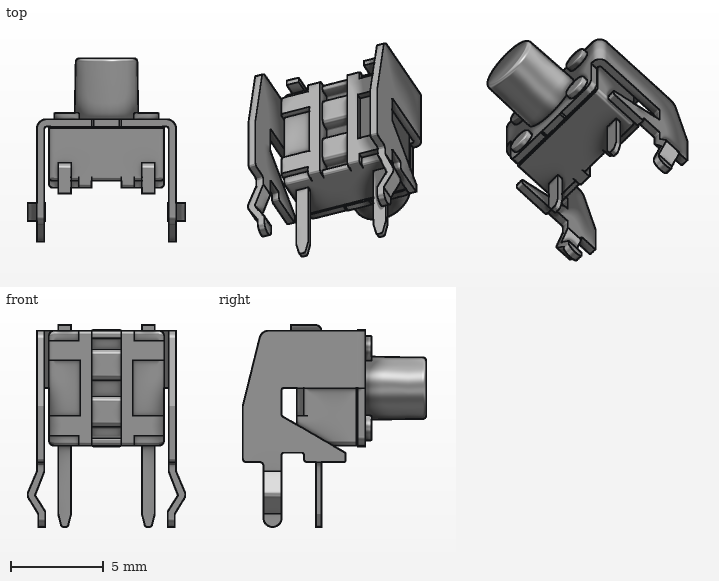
import cadquery as cq


pick_reach = 0.01

sheet = 0.41
bracket_half_width = 3.76
bend_inner_radius = 0.12
bend_outer_radius = bend_inner_radius + sheet

housing_half = 3.11
housing_back = -3.34
housing_corner_radius = 0.29
edge_radius = 0.21
housing_front_chamfer = 0.09

pad_height = 0.37
pad_back = housing_back - pad_height
channel_half_width = 0.8
side_pocket_x = 1.41
side_pocket_half_height = 1.49
corner_notch_x = 1.49
corner_notch_z = 2.56

channel_floor = -2.72
channel_half_height = 2.69
ledge_radius = 0.1
floor_radius = 0.1
rib_centre_z = 1.26
rib_height = 1.66
rib_radius = 0.3

button_length = 3.28
button_base_radius = 1.73
button_tip_radius = 1.67
peg_offset = 2.15
peg_radius = 0.68
peg_length = 0.34
peg_edge_radius = 0.09

crest_height = 0.04
crest_top_half_width = 0.69
crest_base_half_width = 0.8

wing_rear = -6.62
wing_rear_top = -5.61
wing_slope_end = -0.95
wing_bottom = -3.99
wing_top_radius = 0.51
small_corner_radius = 0.1
large_corner_radius = 0.2
arm_tip = -1.07
arm_notch_start = -3.32
arm_root_z = -3.49
arm_window_z = -1.49

leg_front = -4.51
leg_width = 0.99
leg_rear = leg_front - leg_width
leg_bend_start = -4.49
leg_knee_z = -5.78
leg_knee_outer = 4.31
leg_knee_inner = 3.85
leg_foot_outer = 3.68
leg_foot_inner = 3.29
leg_foot_outer_z = -6.78
leg_foot_inner_z = -6.66
foot_bottom = -7.49

pin_offset = 2.26
pin_width = 0.71
pin_thickness = 0.3
pin_front = -2.37
pin_taper_start = -6.78
pin_tip_half_width = 0.17
pin_tip_radius = 0.15
tab_back = -4.02
tab_bend_radius = 0.34


def span(half):
    """Range reaching equally far to both sides of zero."""
    return (-half, half)


def box(x_range, y_range, z_range):
    """Box spanning the given (low, high) ranges."""
    size = [high - low for low, high in (x_range, y_range, z_range)]
    corner = (x_range[0], y_range[0], z_range[0])
    return cq.Workplane("XY").box(*size, centered=False).translate(corner)


def both_sides(shape):
    """The shape together with its mirror image across X = 0."""
    return shape.union(shape.mirror("YZ"))


def pick(y, z, half_width):
    """Selector for edges parallel to X at the given Y and Z."""
    return cq.selectors.BoxSelector(
        (-half_width, y - pick_reach, z - pick_reach),
        (half_width, y + pick_reach, z + pick_reach),
    )


def cut_channel(block):
    """Cut three troughs into the back of the block, leaving two rounded ribs between them."""
    rib_half = rib_height / 2
    walls = [
        (-channel_half_height, ledge_radius),
        (-rib_centre_z - rib_half, rib_radius),
        (-rib_centre_z + rib_half, rib_radius),
        (rib_centre_z - rib_half, rib_radius),
        (rib_centre_z + rib_half, rib_radius),
        (channel_half_height, ledge_radius),
    ]
    heights = [z for z, _ in walls]
    for trough_z in zip(heights[::2], heights[1::2]):
        trough = box(span(channel_half_width), (housing_back, channel_floor), trough_z)
        block = block.cut(trough)
    for z, lip_radius in walls:
        block = block.edges(pick(channel_floor, z, channel_half_width)).fillet(floor_radius)
        block = block.edges(pick(housing_back, z, channel_half_width)).fillet(lip_radius)
    return block


def make_housing():
    """Block with rounded edges, a ribbed channel and two raised pads on its back."""
    full_span = span(housing_half)
    block = (
        box(full_span, (pad_back, -sheet), full_span)
        .edges("|Y").fillet(housing_corner_radius)
        .faces(">Y").edges().chamfer(housing_front_chamfer)
    )
    base = block.intersect(box(full_span, (housing_back, -sheet), full_span))
    base = base.faces("<Y").edges().fillet(edge_radius)

    pad_y = (pad_back, housing_back + edge_radius)
    pads = block.faces("<Y").edges().fillet(edge_radius)
    pads = pads.intersect(box(full_span, pad_y, full_span))
    pads = pads.cut(box(span(channel_half_width), pad_y, full_span))
    side_pocket = box((side_pocket_x, housing_half), pad_y, span(side_pocket_half_height))
    pads = pads.cut(both_sides(side_pocket))
    for notch_z in ((corner_notch_z, housing_half), (-housing_half, -corner_notch_z)):
        pads = pads.cut(both_sides(box((corner_notch_x, housing_half), pad_y, notch_z)))

    return cut_channel(base).union(pads)


def make_button():
    """Slightly tapered button with a rounded tip."""
    button = (
        cq.Workplane("XZ", origin=(0, -sheet, 0)).circle(button_base_radius)
        .workplane(offset=-(button_length + sheet)).circle(button_tip_radius)
        .loft(combine=True)
    )
    return button.faces(">Y").edges().fillet(edge_radius)


def make_pegs():
    """Four round pegs standing on the outer face of the plate."""
    spacing = 2 * peg_offset
    pegs = (
        cq.Workplane("XZ", origin=(0, -sheet, 0)).rarray(spacing, spacing, 2, 2)
        .circle(peg_radius).extrude(-(sheet + peg_length))
    )
    return pegs.faces(">Y").edges().fillet(peg_edge_radius)


def make_wing_outline():
    """Side outline of the wings, extruded across the full bracket width."""
    outline = (
        cq.Workplane("YZ", origin=(-bracket_half_width, 0, 0))
        .moveTo(0, 0)
        .lineTo(0, housing_half)
        .lineTo(wing_rear_top, housing_half)
        .lineTo(wing_rear, wing_slope_end)
        .lineTo(wing_rear, wing_bottom)
        .lineTo(leg_rear, wing_bottom)
        .lineTo(leg_rear, leg_bend_start)
        .lineTo(leg_front, leg_bend_start)
        .lineTo(leg_front, arm_root_z)
        .lineTo(arm_notch_start, arm_root_z)
        .lineTo(arm_notch_start, wing_bottom)
        .lineTo(arm_tip, wing_bottom)
        .lineTo(arm_tip, arm_root_z)
        .lineTo(leg_front, arm_window_z)
        .lineTo(leg_front, 0)
        .close()
        .extrude(2 * bracket_half_width)
    )

    corners = (
        (wing_rear_top, housing_half, wing_top_radius),
        (wing_rear, wing_bottom, large_corner_radius),
        (leg_rear, wing_bottom, large_corner_radius),
        (arm_notch_start, wing_bottom, large_corner_radius),
        (leg_front, arm_root_z, small_corner_radius),
        (arm_notch_start, arm_root_z, small_corner_radius),
        (arm_tip, wing_bottom, small_corner_radius),
        (arm_tip, arm_root_z, small_corner_radius),
        (leg_front, arm_window_z, small_corner_radius),
        (leg_front, 0, small_corner_radius),
    )
    for y, z, radius in corners:
        outline = outline.edges(pick(y, z, bracket_half_width)).fillet(radius)
    return outline


def make_leg():
    """Kinked snap leg on the +X side, ending in a half-round foot."""
    kink = (
        cq.Workplane("XZ", origin=(0, leg_front, 0))
        .moveTo(bracket_half_width, leg_bend_start)
        .lineTo(leg_knee_outer, leg_knee_z)
        .lineTo(leg_foot_outer, leg_foot_outer_z)
        .lineTo(leg_foot_outer, foot_bottom)
        .lineTo(leg_foot_inner, foot_bottom)
        .lineTo(leg_foot_inner, leg_foot_inner_z)
        .lineTo(leg_knee_inner, leg_knee_z)
        .lineTo(bracket_half_width - sheet, leg_bend_start)
        .close()
        .extrude(leg_width)
    )
    kink = kink.edges(">X").fillet(sheet)
    foot_radius = leg_width / 2
    foot_centre_z = foot_bottom + foot_radius
    straight = box((0, leg_knee_outer), (leg_rear, leg_front), (foot_centre_z, leg_bend_start))
    foot = (
        cq.Workplane("YZ").center(leg_front - foot_radius, foot_centre_z)
        .circle(foot_radius).extrude(leg_knee_outer)
    )
    return kink.intersect(straight.union(foot))


def make_bracket():
    """U-shaped sheet: front plate, two wings with arms, and two snap legs."""
    tall = (foot_bottom, housing_half)
    inner_half_width = bracket_half_width - sheet
    shell = box(span(bracket_half_width), (wing_rear, 0), tall)
    shell = shell.edges("|Z and >Y").fillet(bend_outer_radius)
    inside = box(span(inner_half_width), (wing_rear, -sheet), tall)
    inside = inside.edges("|Z and >Y").fillet(bend_inner_radius)
    wings = shell.cut(inside).intersect(make_wing_outline())

    lower_plate = box(span(housing_half), (-sheet, 0), span(housing_half))
    lower_plate = lower_plate.edges("|Y and <Z").fillet(bend_outer_radius)
    crest_top = housing_half + crest_height
    crest = (
        cq.Workplane("XZ")
        .polyline([
            (-crest_base_half_width, housing_half),
            (-crest_top_half_width, crest_top),
            (crest_top_half_width, crest_top),
            (crest_base_half_width, housing_half),
            (crest_base_half_width, -housing_half),
            (crest_top_half_width, -crest_top),
            (-crest_top_half_width, -crest_top),
            (-crest_base_half_width, -housing_half),
        ])
        .close()
        .extrude(sheet)
    )
    return wings.union(lower_plate).union(crest).union(both_sides(make_leg()))


def make_terminal():
    """Terminal on the +X side: tapered pin below, tab folded over the housing top."""
    pin_x = (pin_offset - pin_width / 2, pin_offset + pin_width / 2)
    tab_top = housing_half + pin_thickness
    pin = (
        cq.Workplane("XZ", origin=(pin_offset, pin_front, 0))
        .moveTo(-pin_width / 2, tab_top)
        .lineTo(-pin_width / 2, pin_taper_start)
        .lineTo(-pin_tip_half_width, foot_bottom)
        .lineTo(pin_tip_half_width, foot_bottom)
        .lineTo(pin_width / 2, pin_taper_start)
        .lineTo(pin_width / 2, tab_top)
        .close()
        .extrude(pin_thickness)
    )
    pin = pin.edges("|Y and <Z").fillet(pin_tip_radius)
    tab = box(pin_x, (tab_back, pin_front), (housing_half, tab_top))
    return pin.union(tab).edges("|X and >Y and >Z").fillet(tab_bend_radius)


result = (
    make_housing()
    .union(make_button())
    .union(make_pegs())
    .union(make_bracket())
    .union(both_sides(make_terminal()))
)